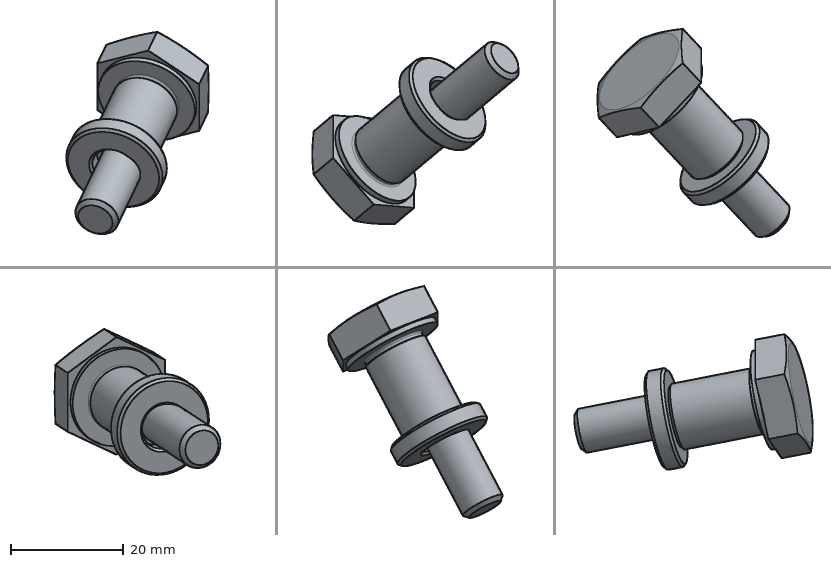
import cadquery as cq
import math

total_length = 40.5
head_height = 6.9
washer_face_height = 1.0
shank_length = 16.0
ring_thickness = 3.6

across_flats = 19.0
flange_diameter = 18.0
crown_angle = 15.0

shank_diameter = 12.0
neck_diameter = 11.4
undercut_width = 1.0
undercut_fillet = 0.32

ring_bore_diameter = 8.2
edge_chamfer = 0.5
pin_diameter = 8.0
pin_chamfer = 0.8
eccentricity = 1.0

head_top_y = total_length / 2
hexagon_bottom_y = head_top_y - (head_height - washer_face_height)
washer_face_y = head_top_y - head_height
shank_end_y = washer_face_y - shank_length
ring_end_y = shank_end_y - ring_thickness
pin_tip_y = -total_length / 2


def revolve_about_y(profile):
    """Turn a closed XY profile a full revolution about the Y axis."""
    return profile.close().revolve(360, (0, 0, 0), (0, 1, 0))


def cylinder(diameter, start_y, end_y, center_x=0):
    """Cylinder along Y, running from start_y down to end_y."""
    plane = cq.Workplane("XZ", origin=(center_x, start_y, 0))
    return plane.circle(diameter / 2).extrude(start_y - end_y)


def make_hexagon():
    """Hexagon with corners on Z, its top corners trimmed by a cone."""
    corner_radius = across_flats / math.sqrt(3)
    hexagon = (
        cq.Workplane("XZ", origin=(0, head_top_y, 0))
        .polygon(6, 2 * corner_radius)
        .extrude(head_top_y - hexagon_bottom_y)
        .rotate((0, 0, 0), (0, 1, 0), 30)
    )
    trim_radius = across_flats
    crown_radius = flange_diameter / 2
    crown_drop = (trim_radius - crown_radius) * math.tan(math.radians(crown_angle))
    crown = revolve_about_y(
        cq.Workplane("XY")
        .moveTo(0, head_top_y)
        .lineTo(crown_radius, head_top_y)
        .lineTo(trim_radius, head_top_y - crown_drop)
        .lineTo(trim_radius, hexagon_bottom_y)
        .lineTo(0, hexagon_bottom_y)
    )
    return hexagon.intersect(crown)


def make_shank():
    """Washer face and shank, with an undercut neck filleted into the washer face."""
    neck_radius = neck_diameter / 2
    shank_radius = shank_diameter / 2
    arc_center_x = neck_radius + undercut_fillet
    arc_center_y = washer_face_y - undercut_fillet
    arc_reach = undercut_fillet * math.sqrt(0.5)
    return revolve_about_y(
        cq.Workplane("XY")
        .moveTo(0, hexagon_bottom_y)
        .lineTo(flange_diameter / 2, hexagon_bottom_y)
        .lineTo(flange_diameter / 2, washer_face_y)
        .lineTo(arc_center_x, washer_face_y)
        .threePointArc(
            (arc_center_x - arc_reach, arc_center_y + arc_reach),
            (neck_radius, arc_center_y),
        )
        .lineTo(neck_radius, washer_face_y - undercut_width)
        .lineTo(shank_radius, washer_face_y - undercut_width)
        .lineTo(shank_radius, shank_end_y + edge_chamfer)
        .lineTo(shank_radius - edge_chamfer, shank_end_y)
        .lineTo(0, shank_end_y)
    )


def make_bolt():
    """Hexagonal head and shank in one piece."""
    return make_hexagon().union(make_shank())


def make_pin():
    """Eccentric pin standing on the end face of the shank."""
    pin = cylinder(pin_diameter, shank_end_y, pin_tip_y, eccentricity)
    return pin.faces("<Y").chamfer(pin_chamfer)


def make_ring(pin):
    """Chamfered ring on the shank axis, relieved where the eccentric pin passes."""
    bore = cylinder(ring_bore_diameter, shank_end_y, ring_end_y)
    ring = cylinder(flange_diameter, shank_end_y, ring_end_y).cut(bore)
    ring = ring.faces("<Y or >Y").edges().chamfer(edge_chamfer)
    return ring.cut(pin)


bolt = make_bolt()
pin = make_pin()
ring = make_ring(pin)

result = cq.Compound.makeCompound([bolt.val(), pin.val(), ring.val()])